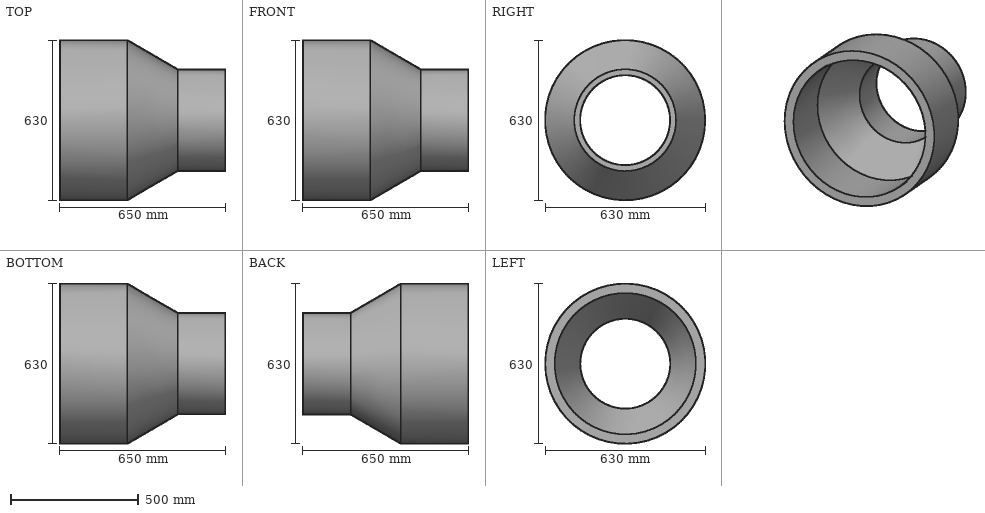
import cadquery as cq

total_length = 650.0
wide_length = 265.0
narrow_length = 187.0
wide_outer_diameter = 630.0
wide_bore_diameter = 555.0
narrow_outer_diameter = 400.0
narrow_bore_diameter = 352.0

cone_end = total_length - narrow_length


def stepped_cone(wide_diameter, narrow_diameter):
    """Solid of revolution about X: wide cylinder, cone, narrow cylinder."""
    wide_radius = wide_diameter / 2
    narrow_radius = narrow_diameter / 2
    return (
        cq.Workplane("XY")
        .moveTo(0, 0)
        .lineTo(0, wide_radius)
        .lineTo(wide_length, wide_radius)
        .lineTo(cone_end, narrow_radius)
        .lineTo(total_length, narrow_radius)
        .lineTo(total_length, 0)
        .close()
        .revolve(360, (0, 0, 0), (1, 0, 0))
    )


outer_body = stepped_cone(wide_outer_diameter, narrow_outer_diameter)
bore = stepped_cone(wide_bore_diameter, narrow_bore_diameter)

result = outer_body.cut(bore)